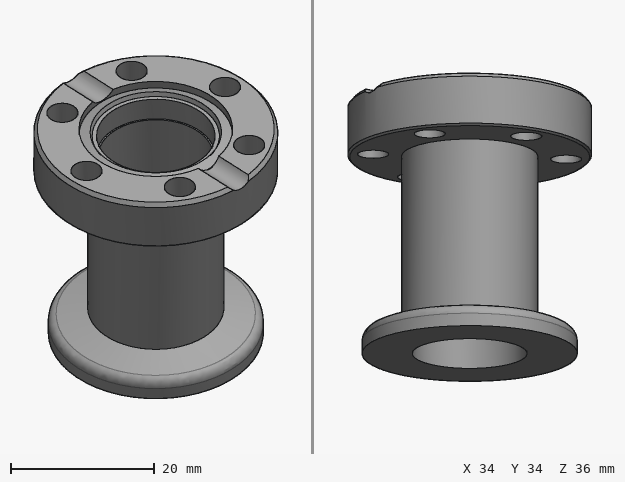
import cadquery as cq
import math

total_height = 36.0

tube_od = 19.0
tube_bore = 16.0
tube_top_depth = 4.68

flange_od = 34.0
flange_thickness = 7.65
flange_bore = 16.5
top_chamfer_height = 0.58
top_chamfer_width = 0.5
bottom_chamfer = 0.3

recess_diameter = 21.4
recess_depth = 1.15
knife_edge_diameter = 18.3
knife_edge_angle = 20.0
knife_root_diameter = 17.7
knife_root_depth = 1.22

bolt_count = 6
bolt_circle_diameter = 27.0
bolt_hole_diameter = 4.32

groove_width = 3.95
groove_depth = 1.0

clamp_od = 30.0
clamp_height = 4.43
clamp_angle = 15.0
clamp_fillet = 1.5


def revolve_profile(profile):
    """Turn an outline drawn in radius and height around the Z axis."""
    return cq.Workplane("XZ").polyline(profile).close().revolve(360, (0, 0, 0), (0, 1, 0))


def make_tube():
    length = total_height - tube_top_depth - clamp_height
    return (
        cq.Workplane("XY")
        .workplane(offset=clamp_height)
        .circle(tube_od / 2)
        .circle(tube_bore / 2)
        .extrude(length)
    )


def make_flange_blank():
    """Turned flange with a socket for the tube and a knife edge in the gasket recess."""
    bottom = total_height - flange_thickness
    socket_top = total_height - tube_top_depth
    outer = flange_od / 2
    recess_floor = total_height - recess_depth
    knife_root = total_height - knife_root_depth
    flank_width = (recess_diameter - knife_edge_diameter) / 2
    knife_tip = recess_floor + flank_width * math.tan(math.radians(knife_edge_angle))
    return revolve_profile([
        (tube_od / 2, bottom),
        (outer - bottom_chamfer, bottom),
        (outer, bottom + bottom_chamfer),
        (outer, total_height - top_chamfer_height),
        (outer - top_chamfer_width, total_height),
        (recess_diameter / 2, total_height),
        (recess_diameter / 2, recess_floor),
        (knife_edge_diameter / 2, knife_tip),
        (knife_root_diameter / 2, knife_root),
        (flange_bore / 2, knife_root),
        (flange_bore / 2, socket_top),
        (tube_od / 2, socket_top),
    ])


def make_bolt_holes():
    return (
        cq.Workplane("XY")
        .workplane(offset=total_height - flange_thickness)
        .polarArray(bolt_circle_diameter / 2, 90, 360, bolt_count)
        .circle(bolt_hole_diameter / 2)
        .extrude(flange_thickness)
    )


def make_groove(side):
    """Cutter from the gasket recess to the rim, on the +X (1) or -X (-1) side."""
    radius = ((groove_width / 2) ** 2 + groove_depth ** 2) / (2 * groove_depth)
    bar = (
        cq.Workplane("YZ")
        .center(0, total_height - groove_depth + radius)
        .circle(radius)
        .extrude(side * flange_od / 2)
    )
    knife_zone = cq.Workplane("XY").circle(recess_diameter / 2).extrude(total_height + radius * 2)
    return bar.cut(knife_zone)


def make_bolted_flange():
    flange = make_flange_blank().cut(make_bolt_holes())
    for side in (-1, 1):
        flange = flange.cut(make_groove(side))
    return flange


def make_clamp_flange():
    """Flange with a conical back face blended into its rim."""
    cone_width = (clamp_od - tube_od) / 2
    rim_height = clamp_height - cone_width * math.tan(math.radians(clamp_angle))
    clamp = revolve_profile([
        (tube_bore / 2, 0),
        (clamp_od / 2, 0),
        (clamp_od / 2, rim_height),
        (tube_od / 2, clamp_height),
        (tube_bore / 2, clamp_height),
    ])
    rim_edge = cq.selectors.RadiusNthSelector(-1)
    return clamp.edges("%CIRCLE").edges("not <Z").edges(rim_edge).fillet(clamp_fillet)


tube = make_tube()
bolted_flange = make_bolted_flange()
clamp_flange = make_clamp_flange()

result = cq.Compound.makeCompound([bolted_flange.val(), tube.val(), clamp_flange.val()])